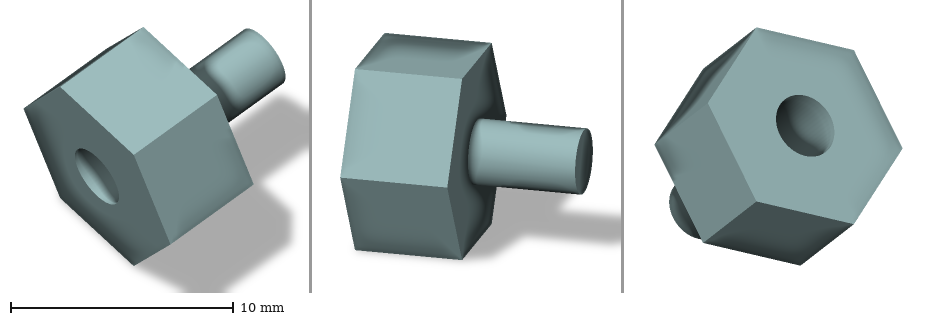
import cadquery as cq

hex_across_corners = 10.0
hex_length = 5.0
stud_diameter = 3.0
stud_length = 5.0
hole_diameter = stud_diameter
hole_floor = 1.0
hole_depth = hex_length - hole_floor


def front_plane(y):
    """Plane at the given Y, with its normal along +Y."""
    return cq.Plane(origin=(0, y, 0), xDir=(1, 0, 0), normal=(0, 1, 0))


body = cq.Workplane(front_plane(0)).polygon(6, hex_across_corners).extrude(hex_length)

stud = cq.Workplane(front_plane(hex_length)).circle(stud_diameter / 2).extrude(stud_length)

hole = cq.Workplane(front_plane(0)).circle(hole_diameter / 2).extrude(hole_depth)

result = body.union(stud).cut(hole)